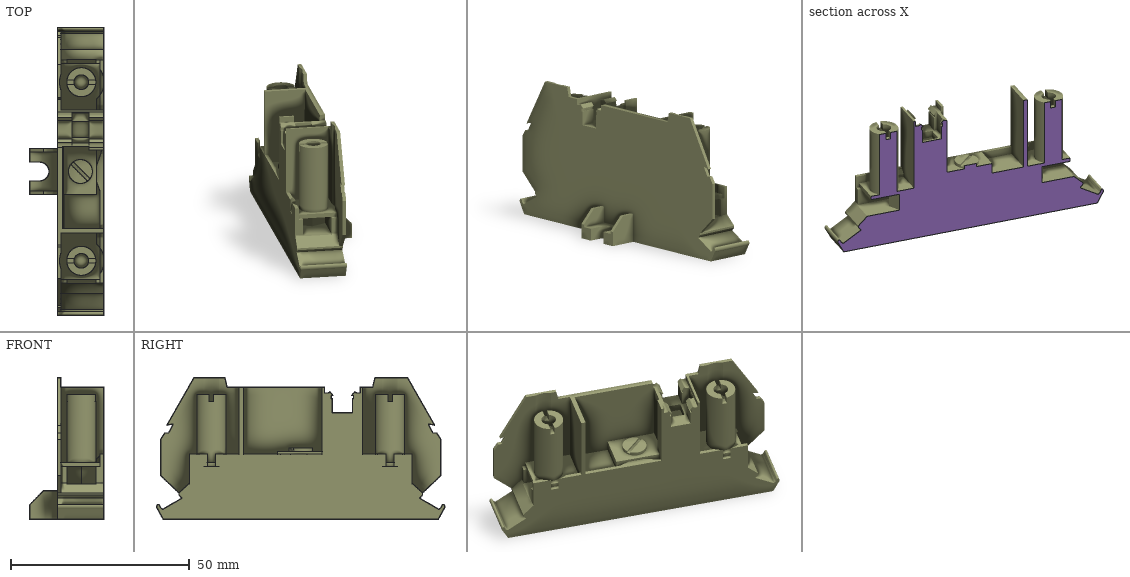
import cadquery as cq

BODY_WIDTH = 13.0
HEIGHT = 39.7
SIDE_WALL = 1.0
FULL_LENGTH = 80.68
FOOT_TIP_Y = FULL_LENGTH / 2
BASE_HALF = 38.5
TOP_EDGE_Z = 37.0

CHANNEL_Y = 11.65
CHANNEL_HALF = 2.8
CHANNEL_FLOOR_Z = 29.9
CATCH_STEP_HALF = 4.95
CATCH_BASE_Z = 35.4
CATCH_LENGTH = 4.15
CATCH_GAP_Y = (8.0, 16.4)
CATCH_GAP_LEDGE_Y = 16.55
CATCH_GAP_LEDGE_Z = 30.8
MARKER_POCKET_Y = (9.5, 13.95)
MARKER_POCKET_DEPTH = 2.0

CHAMBER_FRONT_Y = 31.15
SHELF_FRONT_Y = 30.25
SHELF_UNDERSIDE_Z = 14.8
SHELF_Z = 16.0
FOOT_SHOULDER_Y = 34.1
FOOT_SHOULDER_Z = 7.4
FRONT_BASE_Z = 10.15
OPEN_WALL_X = 12.0
OPEN_WALL_Z = 18.25
BARRIER_Y = 17.25

SCREW_X = 6.7
SCREW_Y = 25.0
SCREW_RADIUS = 4.07
SCREW_TOP_Z = 35.0
SCREW_BORE_RADIUS = 2.05
SCREW_BORE_DEPTH = 4.0
SCREW_SLOT_WIDTH = 1.25
SCREW_SLOT_DEPTH = 2.0
SCREW_CLEARANCE_X = 6.85
SCREW_CLEARANCE_RADIUS = 6.25
GUSSET_X = 10.9
GUSSET_END_Y = 22.0
GUSSET_LOW_Z = 16.85
GUSSET_HIGH_Z = 17.95

ENTRY_FLOOR_Z = 9.95
ENTRY_DEPTH = 10.0
ENTRY_RIDGE = 2.2

BAY_BARRIER_Y = -16.0
BAY_END_Y = 7.05
BAY_WALL_X = 1.5
BAY_WALL_FOOT_X = 1.8
PILLAR_Y = 6.0
CLAMP_X = 11.0
CLAMP_END_Y = -6.5
CLAMP_HEIGHT = 3.0
BAY_SCREW_X = 6.45
BAY_SCREW_RADIUS = 3.35
BAY_SCREW_HEIGHT = 1.0
BAY_SCREW_SLOT_WIDTH = 1.0
BAY_SCREW_SLOT_ANGLE = -45.0
BULGE_Y = -0.6
BULGE_HALF_BASE = 5.1
BULGE_HALF_TOP = 2.3
BULGE_RELIEF_X = 12.4

LUG_LENGTH = 7.75
LUG_WIDTH = 13.0
LUG_THICKNESS = 3.4
LUG_RIB = 1.0
LUG_RIB_TOP_Z = 8.05
LUG_RIB_TIP_Z = 4.1
LUG_RIB_SLOPE_X = -3.9
LUG_SLOT_RADIUS = 2.6
LUG_SLOT_X = -4.95


def box(x0, x1, y0, y1, z0, z1):
    return cq.Workplane("XY").box(x1 - x0, y1 - y0, z1 - z0, centered=False).translate((x0, y0, z0))


def prism(outline, x0, x1):
    """Extrude a (Y, Z) outline along X.

    An entry is a corner (y, z), or a pair (middle, end) of points for an arc.
    """
    sketch = cq.Workplane("YZ").moveTo(*outline[0])
    for entry in outline[1:]:
        if is_arc(entry):
            sketch = sketch.threePointArc(*entry)
        else:
            sketch = sketch.lineTo(*entry)
    return sketch.close().extrude(x1 - x0).translate((x0, 0, 0))


def is_arc(entry):
    return isinstance(entry[0], tuple)


def mirrored(outline, centre_y=0.0):
    """Mirror an outline about Y = centre_y and reverse its direction."""
    def flip(point):
        return (2 * centre_y - point[0], point[1])

    ends = [entry[1] if is_arc(entry) else entry for entry in outline]
    flipped = [flip(ends[-1])]
    for i in range(len(outline) - 1, 0, -1):
        target = flip(ends[i - 1])
        if is_arc(outline[i]):
            flipped.append((flip(outline[i][0]), target))
        else:
            flipped.append(target)
    return flipped


def foot_points():
    """Rail foot at the +Y end, from the underside up to its inner corner."""
    return [
        (BASE_HALF, 0),
        (40.1, 2.95),
        ((FOOT_TIP_Y, 3.55), (40.1, 4.15)),
        ((39.75, 4.2), (39.5, 3.9)),
        (39.2, 3.3),
        (38.65, 2.85),
        (33.3, 5.95),
        (FOOT_SHOULDER_Y, 6.85),
        (FOOT_SHOULDER_Y, FOOT_SHOULDER_Z),
    ]


def end_points():
    """Side wall end at +Y, from the rail foot to the start of the top edge."""
    return foot_points() + [
        (39.25, 12.3),
        (39.25, 22.4),
        (38.05, 24.25),
        (37.0, 24.25),
        (35.7, 26.7),
        (37.5, 26.35),
        (36.05, 28.9),
        (29.9, HEIGHT),
    ]


def channel_points():
    """Marker channel with its catches, from the +Y edge to the -Y edge."""
    side = [
        (CHANNEL_Y + CATCH_STEP_HALF, TOP_EDGE_Z),
        (CHANNEL_Y + CATCH_STEP_HALF, CATCH_BASE_Z),
        (CHANNEL_Y + 4.3, CATCH_BASE_Z),
        ((CHANNEL_Y + 3.86, CATCH_BASE_Z + 0.09), (CHANNEL_Y + 3.5, CATCH_BASE_Z + 0.35)),
        (CHANNEL_Y + 2.6, 34.75),
        (CHANNEL_Y + 3.1, 34.65),
        (CHANNEL_Y + 3.1, 33.8),
        (CHANNEL_Y + CHANNEL_HALF, 33.8),
        (CHANNEL_Y + CHANNEL_HALF, CHANNEL_FLOOR_Z),
    ]
    return side + mirrored(side, CHANNEL_Y)


def side_wall():
    end = end_points()
    top = [(20.75, HEIGHT), (20.1, TOP_EDGE_Z)]
    far_top = [(-20.6, TOP_EDGE_Z), (-21.2, HEIGHT)]
    return prism(end + top + channel_points() + far_top + mirrored(end), 0, SIDE_WALL)


def base():
    end = foot_points() + [
        (CHAMBER_FRONT_Y, FRONT_BASE_Z),
        (CHAMBER_FRONT_Y, SHELF_UNDERSIDE_Z),
    ]
    core = prism(end + mirrored(end), SIDE_WALL, BODY_WIDTH)
    foot = foot_points()
    core = core.union(prism(foot + mirrored(foot), 0, BODY_WIDTH))
    shelf = box(SIDE_WALL, OPEN_WALL_X, -SHELF_FRONT_Y, SHELF_FRONT_Y, SHELF_UNDERSIDE_Z, SHELF_Z)
    return core.union(shelf)


def open_side_wall():
    wall = box(OPEN_WALL_X, BODY_WIDTH, -CHAMBER_FRONT_Y, CHAMBER_FRONT_Y, SHELF_UNDERSIDE_Z, OPEN_WALL_Z)
    for end in (-1, 1):
        wall = wall.cut(screw_clearance(end, SHELF_UNDERSIDE_Z))
    return wall


def gusset(end):
    """Sloped filler between the open wall and a barrier."""
    y0, y1 = sorted((end * BARRIER_Y, end * GUSSET_END_Y))
    profile = [
        (GUSSET_X, SHELF_Z),
        (OPEN_WALL_X, SHELF_Z),
        (OPEN_WALL_X, GUSSET_HIGH_Z),
        (GUSSET_X, GUSSET_LOW_Z),
    ]
    return cq.Workplane("XZ").polyline(profile).close().extrude(-(y1 - y0)).translate((0, y0, 0))


def screw_clearance(end, floor_z):
    """Round clearance bored into the walls beside a clamping screw."""
    height = HEIGHT - floor_z
    return (
        cq.Workplane("XY").circle(SCREW_CLEARANCE_RADIUS).extrude(height)
        .translate((SCREW_CLEARANCE_X, end * SCREW_Y, floor_z))
    )


def clamping_screw(end):
    length = SCREW_TOP_Z - SHELF_Z
    screw = cq.Workplane("XY").circle(SCREW_RADIUS).extrude(length)
    screw = screw.faces(">Z").workplane().circle(SCREW_BORE_RADIUS).cutBlind(-SCREW_BORE_DEPTH)
    slot = cq.Workplane("XY").box(2 * SCREW_RADIUS, SCREW_SLOT_WIDTH, 2 * SCREW_SLOT_DEPTH)
    screw = screw.cut(slot.translate((0, 0, length)))
    return screw.translate((SCREW_X, end * SCREW_Y, SHELF_Z))


def wire_entry(end):
    """Pocket under the shelf; its back is a ridge pointing outwards."""
    mouth = end * FOOT_SHOULDER_Y
    back = end * (CHAMBER_FRONT_Y - ENTRY_DEPTH)
    ridge = back + end * ENTRY_RIDGE
    outline = [
        (SCREW_X - SCREW_RADIUS, mouth),
        (SCREW_X + SCREW_RADIUS, mouth),
        (SCREW_X + SCREW_RADIUS, back),
        (SCREW_X, ridge),
        (SCREW_X - SCREW_RADIUS, back),
    ]
    height = SHELF_UNDERSIDE_Z - ENTRY_FLOOR_Z
    return cq.Workplane("XY").polyline(outline).close().extrude(height).translate((0, 0, ENTRY_FLOOR_Z))


def barriers():
    far = box(0, BODY_WIDTH, CHANNEL_Y + CATCH_STEP_HALF, BARRIER_Y, SHELF_Z, TOP_EDGE_Z)
    near = box(0, BODY_WIDTH, -BARRIER_Y, BAY_BARRIER_Y, SHELF_Z, TOP_EDGE_Z)
    return far.union(near)


def marker_channel():
    """Block under the marker channel with a catch block at each side."""
    y0 = CHANNEL_Y - CATCH_STEP_HALF
    y1 = CHANNEL_Y + CATCH_STEP_HALF
    block = prism(channel_points() + [(y0, SHELF_Z), (y1, SHELF_Z)], 0, BODY_WIDTH)
    gap_x = (CATCH_LENGTH, BODY_WIDTH - CATCH_LENGTH)
    block = block.cut(box(*gap_x, *CATCH_GAP_Y, CHANNEL_FLOOR_Z, HEIGHT))
    block = block.cut(box(*gap_x, y0, CATCH_GAP_Y[0], CATCH_BASE_Z, HEIGHT))
    block = block.cut(box(*gap_x, CATCH_GAP_Y[1], CATCH_GAP_LEDGE_Y, CATCH_GAP_LEDGE_Z, HEIGHT))
    pocket_z = CHANNEL_FLOOR_Z - MARKER_POCKET_DEPTH
    block = block.cut(box(*gap_x, *MARKER_POCKET_Y, pocket_z, CHANNEL_FLOOR_Z))
    return block.cut(box(BAY_WALL_X, gap_x[1], y0, BAY_END_Y, SHELF_Z, HEIGHT))


def middle_bay():
    """Thickened, tapered stretch of side wall and the pillar at the bay's +Y end."""
    wall_profile = [
        (0, SHELF_Z),
        (BAY_WALL_FOOT_X, SHELF_Z),
        (BAY_WALL_X, TOP_EDGE_Z),
        (0, TOP_EDGE_Z),
    ]
    step_y = CHANNEL_Y - CATCH_STEP_HALF
    wall = cq.Workplane("XZ").polyline(wall_profile).close().extrude(step_y - BAY_BARRIER_Y)
    wall = wall.translate((0, step_y, 0))
    pillar = box(BODY_WIDTH - CATCH_LENGTH, BODY_WIDTH, PILLAR_Y, step_y, SHELF_Z, TOP_EDGE_Z)
    return wall.union(pillar)


def bay_bulge():
    """Inward bulge of the open wall beside the clamp."""
    outline = [
        (OPEN_WALL_X, BULGE_Y - BULGE_HALF_BASE),
        (CLAMP_X, BULGE_Y - BULGE_HALF_TOP),
        (CLAMP_X, BULGE_Y + BULGE_HALF_TOP),
        (OPEN_WALL_X, BULGE_Y + BULGE_HALF_BASE),
    ]
    bulge = cq.Workplane("XY").polyline(outline).close().extrude(OPEN_WALL_Z - SHELF_Z)
    return bulge.translate((0, 0, SHELF_Z))


def bay_relief():
    """Wedge cut from the open wall where the bulge flank runs on to the pillar."""
    outline = [
        (OPEN_WALL_X, BULGE_Y + BULGE_HALF_BASE),
        (BULGE_RELIEF_X, PILLAR_Y),
        (OPEN_WALL_X, PILLAR_Y),
    ]
    wedge = cq.Workplane("XY").polyline(outline).close().extrude(OPEN_WALL_Z - SHELF_Z)
    return wedge.translate((0, 0, SHELF_Z))


def bay_clamp():
    """Clamp block with a slotted screw head on top."""
    top_z = SHELF_Z + CLAMP_HEIGHT
    clamp = box(BAY_WALL_X, CLAMP_X, CLAMP_END_Y, BAY_END_Y, SHELF_Z, top_z)
    head = cq.Workplane("XY").circle(BAY_SCREW_RADIUS).extrude(BAY_SCREW_HEIGHT)
    slot = cq.Workplane("XY").box(2 * BAY_SCREW_RADIUS, BAY_SCREW_SLOT_WIDTH, BAY_SCREW_HEIGHT)
    slot = slot.rotate((0, 0, 0), (0, 0, 1), BAY_SCREW_SLOT_ANGLE).translate((0, 0, BAY_SCREW_HEIGHT))
    return clamp.union(head.cut(slot).translate((BAY_SCREW_X, 0, top_z)))


def mounting_lug():
    half = LUG_WIDTH / 2
    lug = box(-LUG_LENGTH, 0, -half, half, 0, LUG_THICKNESS)
    rib_outline = [
        (0, 0),
        (-LUG_LENGTH, 0),
        (-LUG_LENGTH, LUG_RIB_TIP_Z),
        (LUG_RIB_SLOPE_X, LUG_RIB_TOP_Z),
        (0, LUG_RIB_TOP_Z),
    ]
    rib = cq.Workplane("XZ").polyline(rib_outline).close().extrude(LUG_RIB)
    for rib_end_y in (half, LUG_RIB - half):
        lug = lug.union(rib.translate((0, rib_end_y, 0)))
    slot = cq.Workplane("XY").circle(LUG_SLOT_RADIUS).extrude(LUG_THICKNESS).translate((LUG_SLOT_X, 0, 0))
    mouth = box(-LUG_LENGTH, LUG_SLOT_X, -LUG_SLOT_RADIUS, LUG_SLOT_RADIUS, 0, LUG_THICKNESS)
    return lug.cut(slot).cut(mouth)


def housing():
    body = side_wall().union(base()).union(open_side_wall())
    for end in (-1, 1):
        body = body.union(gusset(end))
        body = body.cut(screw_clearance(end, SHELF_Z)).cut(wire_entry(end))
        body = body.union(clamping_screw(end))
    body = body.union(barriers()).union(marker_channel())
    body = body.cut(bay_relief()).union(bay_bulge())
    return body.union(middle_bay()).union(bay_clamp())


result = housing().union(mounting_lug())